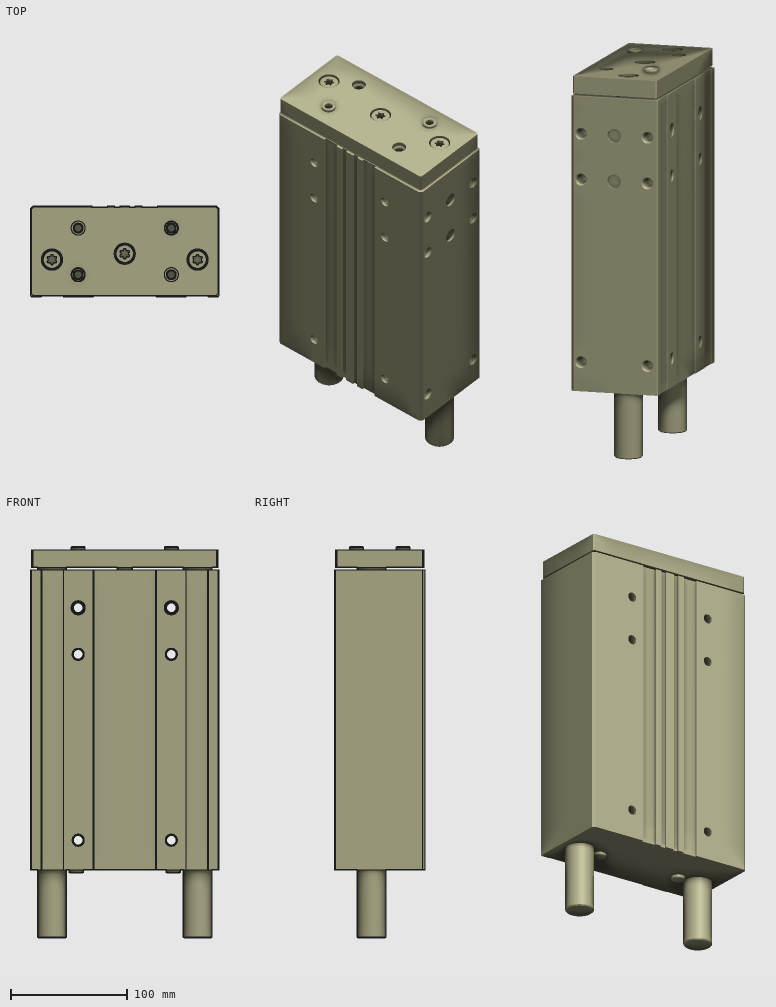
import cadquery as cq
import math

total_height = 336.3
housing_width = 162.0
housing_depth = 78.0
housing_height = 258.0
rod_overhang = 58.5
housing_top = rod_overhang + housing_height
front_y = -housing_depth / 2
back_y = housing_depth / 2

front_groove_depth = 0.7
front_corner_chamfer = 1.0
back_corner_chamfer = 2.5
center_groove_half = 27.0
inner_land_edge = 52.8
outer_land_edge = 71.5
groove_slope = 1.0
back_recess_half = 28.2
back_recess_depth = 2.0
back_center_rib_width = 8.0
back_side_rib_width = 6.0
back_side_rib_x = 11.8

mount_x = 40.0
side_hole_y = 30.0
upper_hole_inset = 32.5
short_hole_pitch = 40.0
long_hole_pitch = 159.7
upper_hole_z = housing_top - upper_hole_inset
middle_hole_z = upper_hole_z - short_hole_pitch
lower_hole_z = middle_hole_z - long_hole_pitch
mount_hole_diameter = 8.5
mount_hole_mouth = 10.5
side_hole_depth = 16.8
drill_tip_angle = 118.0
locating_diameter = 12.0
recess_depth = 3.5
side_recess_depth = 2.5

boss_height = 2.7
boss_chamfer = 0.7
bottom_boss_x = 41.7

plate_width = 160.0
plate_depth = 76.0
plate_thickness = 15.0
plate_corner_chamfer = 1.5
plate_top = total_height - boss_height
plate_bottom = plate_top - plate_thickness
plate_hole_x = 40.0
plate_hole_pitch_y = 40.0
plate_hole_y = plate_hole_pitch_y / 2
plate_hole_diameter = 6.7
plate_hole_mouth = 8.5

guide_rod_diameter = 25.0
guide_rod_x = 62.5
guide_rod_y = -7.0
rod_chamfer = 1.0
piston_rod_diameter = 13.0
piston_rod_y = -2.0
piston_rod_depth = housing_height / 2
screw_head_diameter = 16.0
screw_head_chamfer = 0.5
screw_head_height = 10.0
screw_head_sink = 1.0
screw_shank_diameter = 8.5
screw_thread_engagement = 13.5
counterbore_diameter = 18.0
socket_depth = 6.7
torx_diameter = 9.0
torx_core_diameter = 6.7
torx_lobe_diameter = 2.0
torx_lobes = 6

counterbore_depth = screw_head_height + screw_head_sink
screw_head_top = plate_top - screw_head_sink
screw_end = plate_bottom - screw_thread_engagement
guide_rod_places = [(side * guide_rod_x, guide_rod_y) for side in (-1, 1)]
piston_rod_place = (0, piston_rod_y)
screw_places = guide_rod_places + [piston_rod_place]


def cylinder(place, bottom, top, diameter):
    """Upright cylinder at an (x, y) place between two heights."""
    return cq.Workplane(origin=(*place, bottom)).circle(diameter / 2).extrude(top - bottom)


def cone(start, direction, start_diameter, end_diameter, height):
    """Cone frustum (or full cone) along a direction."""
    return cq.Workplane(
        cq.Solid.makeCone(
            start_diameter / 2, end_diameter / 2, height, cq.Vector(*start), cq.Vector(*direction)
        )
    )


def mouth_chamfer(start, direction, mouth, hole):
    """45 degree countersink that opens a hole to its mouth diameter."""
    return cone(start, direction, mouth, hole, (mouth - hole) / 2)


def bore(start, direction, diameter, depth):
    """Cylinder along a direction, used as a cutter."""
    return cq.Workplane(
        cq.Solid.makeCylinder(diameter / 2, depth, cq.Vector(*start), cq.Vector(*direction))
    )


def boss(place, bottom, chamfered_face):
    """Low locating boss with a chamfered free rim; it has the diameter of the locating recesses."""
    body = cylinder(place, bottom, bottom + boss_height, locating_diameter)
    return body.faces(chamfered_face).chamfer(boss_chamfer)


def housing_profile_body():
    body = cq.Workplane(origin=(0, 0, rod_overhang)).box(
        housing_width, housing_depth, housing_height, centered=(True, True, False)
    )
    body = body.edges("|Z and <Y").chamfer(front_corner_chamfer)
    body = body.edges("|Z and >Y").chamfer(back_corner_chamfer)

    floor_y = front_y + front_groove_depth
    center_groove = [
        (-center_groove_half - groove_slope / 2, front_y),
        (-center_groove_half + groove_slope / 2, floor_y),
        (center_groove_half - groove_slope / 2, floor_y),
        (center_groove_half + groove_slope / 2, front_y),
    ]
    outer_groove = [
        (inner_land_edge, front_y),
        (inner_land_edge, floor_y),
        (outer_land_edge - groove_slope / 2, floor_y),
        (outer_land_edge + groove_slope / 2, front_y),
    ]
    mirrored_groove = [(-x, y) for x, y in outer_groove]
    for outline in (center_groove, outer_groove, mirrored_groove):
        groove = cq.Workplane(origin=(0, 0, rod_overhang)).polyline(outline).close()
        body = body.cut(groove.extrude(housing_height))

    recess_y = back_y - back_recess_depth / 2
    back_recess = cq.Workplane(origin=(0, recess_y, rod_overhang)).box(
        2 * back_recess_half, back_recess_depth, housing_height, centered=(True, True, False)
    )
    ribs = [
        (-back_side_rib_x, back_side_rib_width),
        (0, back_center_rib_width),
        (back_side_rib_x, back_side_rib_width),
    ]
    for rib_x, rib_width in ribs:
        rib = cq.Workplane(origin=(rib_x, recess_y, rod_overhang)).box(
            rib_width, back_recess_depth, housing_height, centered=(True, True, False)
        )
        back_recess = back_recess.cut(rib)
    return body.cut(back_recess)


def cut_front_holes(body):
    inward = (0, 1, 0)
    for side in (-1, 1):
        x = side * mount_x
        for z in (upper_hole_z, middle_hole_z, lower_hole_z):
            start = (x, front_y, z)
            body = body.cut(bore(start, inward, mount_hole_diameter, housing_depth))
            if z == upper_hole_z:
                body = body.cut(bore(start, inward, locating_diameter, recess_depth))
                start = (x, front_y + recess_depth, z)
            body = body.cut(mouth_chamfer(start, inward, mount_hole_mouth, mount_hole_diameter))
    return body


def cut_side_features(body):
    inward = (1, 0, 0)
    side_x = -housing_width / 2
    tip_height = mount_hole_diameter / 2 / math.tan(math.radians(drill_tip_angle / 2))
    for z in (upper_hole_z, middle_hole_z, lower_hole_z):
        for y in (-side_hole_y, side_hole_y):
            start = (side_x, y, z)
            tip_start = (side_x + side_hole_depth, y, z)
            body = body.cut(bore(start, inward, mount_hole_diameter, side_hole_depth))
            body = body.cut(cone(tip_start, inward, mount_hole_diameter, 0, tip_height))
            body = body.cut(mouth_chamfer(start, inward, mount_hole_mouth, mount_hole_diameter))
    for z in (upper_hole_z, middle_hole_z):
        body = body.cut(bore((side_x, 0, z), inward, locating_diameter, side_recess_depth))
    return body


def make_housing():
    body = cut_side_features(cut_front_holes(housing_profile_body()))
    for place in guide_rod_places:
        body = body.cut(cylinder(place, rod_overhang, housing_top, guide_rod_diameter))
    piston_end = housing_top - piston_rod_depth
    body = body.cut(cylinder(piston_rod_place, piston_end, housing_top, piston_rod_diameter))
    for side in (-1, 1):
        place = (side * bottom_boss_x, guide_rod_y)
        body = body.union(boss(place, rod_overhang - boss_height, "<Z"))
    return body


def make_plate():
    body = cq.Workplane(origin=(0, 0, plate_bottom)).box(
        plate_width, plate_depth, plate_thickness, centered=(True, True, False)
    )
    body = body.edges("|Z").chamfer(plate_corner_chamfer)
    down = (0, 0, -1)
    for side_x in (-1, 1):
        for side_y in (-1, 1):
            place = (side_x * plate_hole_x, side_y * plate_hole_y)
            if side_x == side_y:
                body = body.union(boss(place, plate_top, ">Z"))
                mouth_z = total_height
            else:
                body = body.cut(cylinder(place, plate_top - recess_depth, plate_top, locating_diameter))
                mouth_z = plate_top - recess_depth
            body = body.cut(cylinder(place, plate_bottom, mouth_z, plate_hole_diameter))
            body = body.cut(mouth_chamfer((*place, mouth_z), down, plate_hole_mouth, plate_hole_diameter))
    for place in screw_places:
        body = body.cut(cylinder(place, plate_top - counterbore_depth, plate_top, counterbore_diameter))
        body = body.cut(cylinder(place, plate_bottom, plate_top, screw_shank_diameter))
    return body


def make_guide_rod(place):
    rod = cylinder(place, 0, plate_bottom, guide_rod_diameter).faces("<Z").chamfer(rod_chamfer)
    return rod.cut(cylinder(place, screw_end, plate_bottom, screw_shank_diameter))


def make_piston_rod():
    rod = cylinder(piston_rod_place, housing_top - piston_rod_depth, plate_bottom, piston_rod_diameter)
    return rod.cut(cylinder(piston_rod_place, screw_end, plate_bottom, screw_shank_diameter))


def make_screw_blank(place):
    head = cylinder(place, screw_head_top - screw_head_height, screw_head_top, screw_head_diameter)
    head = head.faces(">Z").chamfer(screw_head_chamfer)
    shank = cylinder(place, screw_end, screw_head_top - screw_head_height, screw_shank_diameter)
    return head.union(shank)


def make_screw(place):
    socket_bottom = screw_head_top - socket_depth
    lobe_radius = (torx_diameter - torx_lobe_diameter) / 2
    socket = cylinder(place, socket_bottom, screw_head_top, torx_core_diameter)
    for lobe in range(torx_lobes):
        angle = math.pi / 2 + 2 * math.pi * lobe / torx_lobes
        lobe_x = place[0] + lobe_radius * math.cos(angle)
        lobe_y = place[1] + lobe_radius * math.sin(angle)
        socket = socket.union(cylinder((lobe_x, lobe_y), socket_bottom, screw_head_top, torx_lobe_diameter))
    return make_screw_blank(place).cut(socket)


housing = make_housing()
plate = make_plate()
guide_rods = [make_guide_rod(place) for place in guide_rod_places]
piston_rod = make_piston_rod()
screws = [make_screw(place) for place in screw_places]

result = cq.Compound.makeCompound(
    [
        housing.val(),
        plate.val(),
        *[rod.val() for rod in guide_rods],
        piston_rod.val(),
        *[screw.val() for screw in screws],
    ]
)